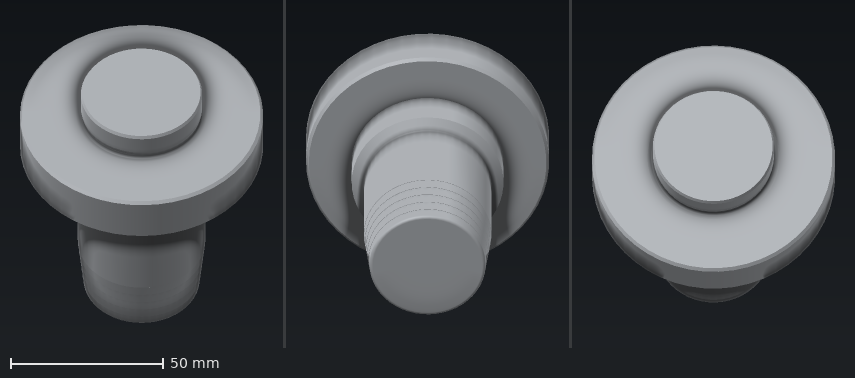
import cadquery as cq
import math

total_length = 92.5

plug_radius = 20.0
plug_chamfer_height = 1.0
plug_chamfer_width = 0.6
plug_straight_end = 7.6
relief_radius = 19.7
relief_start = 8.8
relief_fillet = 0.8
relief_face_radius = 21.7
relief_face_angle = math.radians(8)

flange_radius = 80.0 / 2
flange_top = 10.3
flange_thickness = 16.9
flange_chamfer = 0.9
flange_bottom = flange_top + flange_thickness

shoulder_radius = 25.0
shoulder_end = 39.6
shoulder_cone_angle = math.radians(30)
shoulder_blend = 0.9

shank_radius = 21.0
ring_count = 5
ringed_length = 20.0
ring_height = ringed_length / ring_count
ring_taper = 0.3
ring_step = 0.11
end_fillet = 1.1


def plug_and_relief(profile):
    """Trace from the plug's top centre to the outer edge of the relief."""
    fillet_sin = math.sin(relief_face_angle)
    fillet_cos = math.cos(relief_face_angle)
    center_radius = relief_radius + relief_fillet
    floor_radius = center_radius + relief_fillet * fillet_sin
    floor_depth = flange_top + (relief_face_radius - floor_radius) * math.tan(relief_face_angle)
    center_depth = floor_depth - relief_fillet * fillet_cos
    middle_angle = (math.pi / 2 + relief_face_angle) / 2
    middle = (
        center_radius - relief_fillet * math.cos(middle_angle),
        -center_depth - relief_fillet * math.sin(middle_angle),
    )
    return (
        profile.lineTo(plug_radius - plug_chamfer_width, 0)
        .lineTo(plug_radius, -plug_chamfer_height)
        .lineTo(plug_radius, -plug_straight_end)
        .lineTo(relief_radius, -relief_start)
        .lineTo(relief_radius, -center_depth)
        .threePointArc(middle, (floor_radius, -floor_depth))
        .lineTo(relief_face_radius, -flange_top)
    )


def flange(profile):
    """Trace the flange with both rims chamfered."""
    rim_radius = flange_radius - flange_chamfer
    return (
        profile.lineTo(rim_radius, -flange_top)
        .lineTo(flange_radius, -flange_top - flange_chamfer)
        .lineTo(flange_radius, -flange_bottom + flange_chamfer)
        .lineTo(rim_radius, -flange_bottom)
    )


def shoulder(profile):
    """Trace the shoulder and its cone, ending tangent to the shank."""
    cone_drop = (shoulder_radius - shank_radius) * math.tan(shoulder_cone_angle)
    corner_depth = shoulder_end + cone_drop
    blend_turn = math.pi / 2 - shoulder_cone_angle
    blend_length = shoulder_blend * math.tan(blend_turn / 2)
    center_radius = shank_radius + shoulder_blend
    center_depth = corner_depth + blend_length
    cone_end = (
        shank_radius + blend_length * math.cos(shoulder_cone_angle),
        -corner_depth + blend_length * math.sin(shoulder_cone_angle),
    )
    middle = (
        center_radius - shoulder_blend * math.cos(blend_turn / 2),
        -center_depth + shoulder_blend * math.sin(blend_turn / 2),
    )
    return (
        profile.lineTo(shoulder_radius, -flange_bottom)
        .lineTo(shoulder_radius, -shoulder_end)
        .lineTo(*cone_end)
        .threePointArc(middle, (shank_radius, -center_depth))
    )


def ringed_end(profile):
    """Trace the tapered rings, each starting one small step inside the last."""
    radius = shank_radius
    depth = total_length - ringed_length
    profile = profile.lineTo(radius, -depth)
    for _ in range(ring_count):
        radius -= ring_step
        profile = profile.lineTo(radius, -depth)
        radius -= ring_taper
        depth += ring_height
        profile = profile.lineTo(radius, -depth)
    return profile.lineTo(0, -total_length)


outline = cq.Workplane("XZ").moveTo(0, 0)
for section in (plug_and_relief, flange, shoulder, ringed_end):
    outline = section(outline)

body = outline.close().revolve(360, (0, 0, 0), (0, 1, 0))
result = body.faces("<Z").edges().fillet(end_fillet)